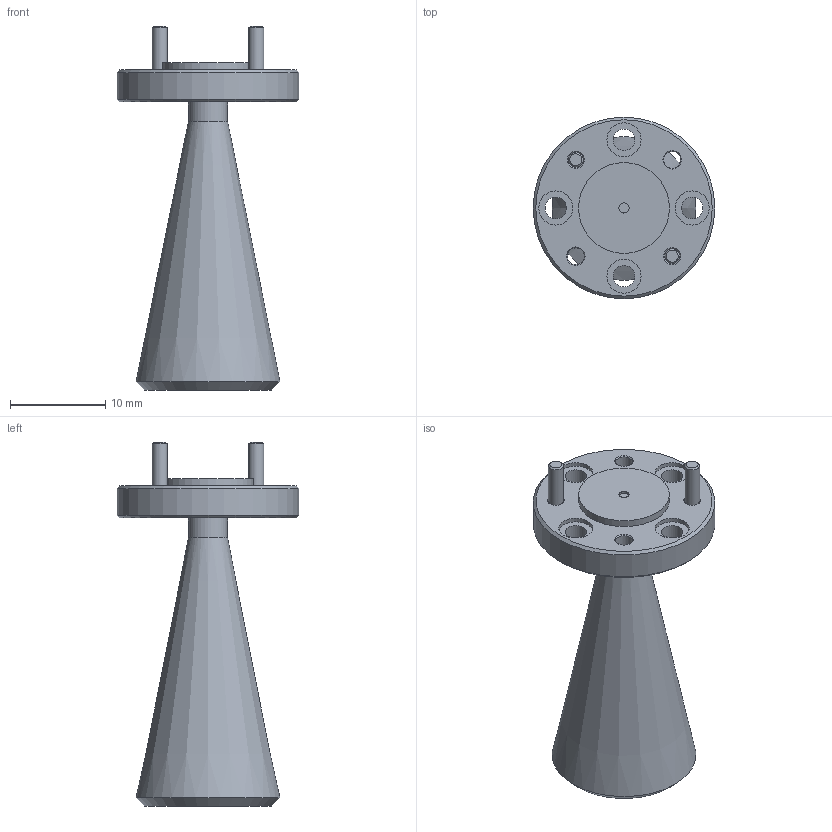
import cadquery as cq
import math


flange_diameter = 19.05
flange_thickness = 3.36
flange_chamfer = 0.28
boss_diameter = 9.53
boss_height = 0.76
port_diameter = 1.07
port_depth = 0.25

bolt_circle_diameter = 14.29
screw_hole_diameter = 2.26
counterbore_diameter = 3.58
counterbore_depth = 0.45
dowel_hole_diameter = 1.75
mouth_chamfer = 0.1

pin_diameter = 1.56
pin_protrusion = 4.6
pin_tip_chamfer = 0.15

overall_height = 38.16
neck_diameter = 4.1
neck_length = 2.05
horn_diameter = 15.08
rim_chamfer = 0.86

flange_bottom = -flange_thickness
cone_top = flange_bottom - neck_length
horn_bottom = pin_protrusion - overall_height

screw_angles = [0, 90, 180, 270]
dowel_angles = [45, 225]
pin_angles = [135, 315]


def bolt_circle_points(angles):
    radius = bolt_circle_diameter / 2
    return [
        (radius * math.cos(math.radians(angle)), radius * math.sin(math.radians(angle)))
        for angle in angles
    ]


def make_horn_blank():
    """Revolve the boss, flange, neck and cone as one profile in the XZ plane."""
    flange_radius = flange_diameter / 2
    neck_radius = neck_diameter / 2
    horn_radius = horn_diameter / 2
    boss_radius = boss_diameter / 2
    return (
        cq.Workplane("XZ")
        .moveTo(0, boss_height)
        .lineTo(boss_radius, boss_height)
        .lineTo(boss_radius, 0)
        .lineTo(flange_radius - flange_chamfer, 0)
        .lineTo(flange_radius, -flange_chamfer)
        .lineTo(flange_radius, flange_bottom + flange_chamfer)
        .lineTo(flange_radius - flange_chamfer, flange_bottom)
        .lineTo(neck_radius, flange_bottom)
        .lineTo(neck_radius, cone_top)
        .lineTo(horn_radius, horn_bottom + rim_chamfer)
        .lineTo(horn_radius - rim_chamfer, horn_bottom)
        .lineTo(0, horn_bottom)
        .close()
        .revolve(360, (0, 0, 0), (0, 1, 0))
    )


def cut_port(horn):
    port = (
        cq.Workplane("XY", origin=(0, 0, boss_height))
        .circle(port_diameter / 2)
        .extrude(-port_depth)
    )
    return horn.cut(port)


def cut_screw_holes(horn):
    """Cut counterbored holes through the flange only."""
    points = bolt_circle_points(screw_angles)
    mating_face = cq.Workplane("XY").pushPoints(points)
    through_holes = mating_face.circle(screw_hole_diameter / 2).extrude(-flange_thickness)
    counterbores = mating_face.circle(counterbore_diameter / 2).extrude(-counterbore_depth)
    return horn.cut(through_holes).cut(counterbores)


def cut_chamfered_holes(horn, angles, diameter):
    """Cut holes through the flange only, each with a 45 degree chamfer at the mating face."""
    radius = diameter / 2
    mouth = cq.Solid.makeCone(radius + mouth_chamfer, radius, mouth_chamfer, dir=cq.Vector(0, 0, -1))
    points = bolt_circle_points(angles)
    through_holes = cq.Workplane("XY").pushPoints(points).circle(radius).extrude(-flange_thickness)
    horn = horn.cut(through_holes)
    for x, y in points:
        horn = horn.cut(cq.Workplane(mouth.translate(cq.Vector(x, y, 0))))
    return horn


def make_horn():
    horn = make_horn_blank()
    horn = cut_port(horn)
    horn = cut_screw_holes(horn)
    horn = cut_chamfered_holes(horn, dowel_angles, dowel_hole_diameter)
    horn = cut_chamfered_holes(horn, pin_angles, pin_diameter)
    return horn


def make_alignment_pin(x, y):
    """Pin filling its hole from the back of the flange, with a chamfered tip."""
    return (
        cq.Workplane("XY", origin=(x, y, flange_bottom))
        .circle(pin_diameter / 2)
        .extrude(flange_thickness + pin_protrusion)
        .faces(">Z")
        .chamfer(pin_tip_chamfer)
    )


horn = make_horn()
alignment_pins = [make_alignment_pin(x, y) for x, y in bolt_circle_points(pin_angles)]

result = cq.Compound.makeCompound([horn.val(), *[pin.val() for pin in alignment_pins]])